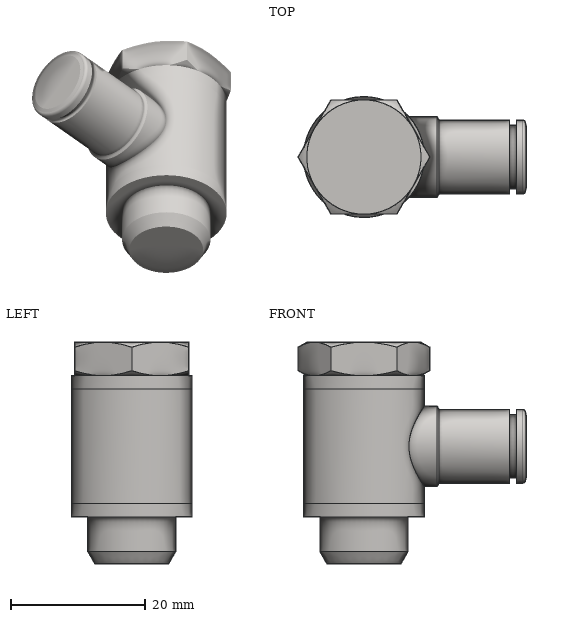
import cadquery as cq
import math


stem_diameter = 13.16
stem_tip_diameter = 11.0
stem_projection = 7.0
stem_tip_angle = 30.0
hex_sides = 6
hex_across_flats = 17.0
hex_height = 5.0
hex_chamfer_angle = 30.0

body_diameter = 18.0
body_height = 17.0
seal_thickness = 2.0

shoulder_diameter = 12.0
shoulder_end = 10.9
branch_diameter = 11.0
branch_end = 21.7
shoulder_slope_angle = 30.0

ring_neck_diameter = 9.5
ring_neck_length = 1.0
ring_flange_diameter = 11.0
ring_end = 24.205
ring_rim_radius = 0.45
ring_cone_length = 0.15
ring_end_diameter = 9.0

body_bottom = seal_thickness
body_top = body_bottom + body_height
head_bottom = body_top + seal_thickness
head_top = head_bottom + hex_height
branch_height = body_bottom + body_height / 2
hex_across_corners = hex_across_flats / math.cos(math.pi / hex_sides)


def make_bolt():
    """Hex head with both ends chamfered, on a straight stem with a tapered tip."""
    head = (
        cq.Workplane("XY", origin=(0, 0, head_bottom))
        .polygon(hex_sides, hex_across_corners)
        .extrude(hex_height)
    )
    flat_radius = hex_across_flats / 2
    corner_radius = hex_across_corners / 2
    chamfer_drop = (corner_radius - flat_radius) * math.tan(math.radians(hex_chamfer_angle))
    chamfer_envelope = (
        cq.Workplane("XZ")
        .moveTo(0, head_bottom)
        .lineTo(flat_radius, head_bottom)
        .lineTo(corner_radius, head_bottom + chamfer_drop)
        .lineTo(corner_radius, head_top - chamfer_drop)
        .lineTo(flat_radius, head_top)
        .lineTo(0, head_top)
        .close()
        .revolve(360, (0, 0), (0, 1))
    )

    stem_radius = stem_diameter / 2
    tip_radius = stem_tip_diameter / 2
    taper_length = (stem_radius - tip_radius) / math.tan(math.radians(stem_tip_angle))
    stem = (
        cq.Workplane("XZ")
        .moveTo(0, -stem_projection)
        .lineTo(tip_radius, -stem_projection)
        .lineTo(stem_radius, taper_length - stem_projection)
        .lineTo(stem_radius, head_bottom)
        .lineTo(0, head_bottom)
        .close()
        .revolve(360, (0, 0), (0, 1))
    )
    return head.intersect(chamfer_envelope).union(stem)


def make_seal(bottom):
    """Flat sealing washer around the bolt stem."""
    return (
        cq.Workplane("XY", origin=(0, 0, bottom))
        .circle(body_diameter / 2)
        .circle(stem_diameter / 2)
        .extrude(seal_thickness)
    )


def make_banjo_body():
    """Cylindrical body bored for the stem, with a shouldered side branch."""
    barrel = (
        cq.Workplane("XY", origin=(0, 0, body_bottom))
        .circle(body_diameter / 2)
        .extrude(body_height)
    )
    shoulder_radius = shoulder_diameter / 2
    branch_radius = branch_diameter / 2
    slope_length = (shoulder_radius - branch_radius) * math.tan(math.radians(shoulder_slope_angle))
    branch = (
        cq.Workplane("XY", origin=(0, 0, branch_height))
        .lineTo(0, shoulder_radius)
        .lineTo(shoulder_end, shoulder_radius)
        .lineTo(shoulder_end + slope_length, branch_radius)
        .lineTo(branch_end, branch_radius)
        .lineTo(branch_end, 0)
        .close()
        .revolve(360, (0, 0), (1, 0))
    )
    bore = (
        cq.Workplane("XY", origin=(0, 0, body_bottom))
        .circle(stem_diameter / 2)
        .extrude(body_height)
    )
    return barrel.union(branch).cut(bore)


def make_release_ring():
    """Push-in release ring: a neck and a flange with a rounded rim and a shallow end cone."""
    neck_radius = ring_neck_diameter / 2
    flange_radius = ring_flange_diameter / 2
    flange_start = branch_end + ring_neck_length
    rim_end = ring_end - ring_cone_length
    return (
        cq.Workplane("XY", origin=(0, 0, branch_height))
        .moveTo(branch_end, 0)
        .lineTo(branch_end, neck_radius)
        .lineTo(flange_start, neck_radius)
        .lineTo(flange_start, flange_radius)
        .lineTo(rim_end - ring_rim_radius, flange_radius)
        .radiusArc((rim_end, flange_radius - ring_rim_radius), ring_rim_radius)
        .lineTo(ring_end, ring_end_diameter / 2)
        .lineTo(ring_end, 0)
        .close()
        .revolve(360, (0, 0), (1, 0))
    )


bolt = make_bolt()
banjo_body = make_banjo_body()
release_ring = make_release_ring()
seals = [make_seal(bottom) for bottom in (0, body_top)]

result = cq.Compound.makeCompound(
    [
        bolt.val(),
        banjo_body.val(),
        release_ring.val(),
        *[seal.val() for seal in seals],
    ]
)